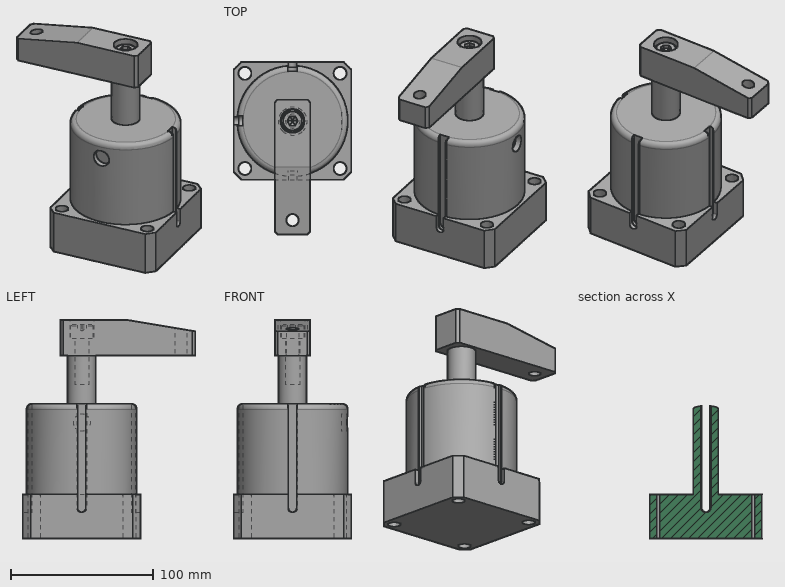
import cadquery as cq
import math


overall_height = 154.0
overall_depth = 121.5

base_width = 83.0
base_height = 31.1
base_chamfer = 5.5
mount_hole_pitch = 67.0
mount_hole_diameter = 9.0
barrel_diameter = 78.0
barrel_top = 95.0
barrel_fillet = 4.0

slot_bottom = 18.6
slot_mouth_width = 5.7
slot_mouth_radius = 37.9
slot_inner_width = 7.0
slot_floor_radius = barrel_diameter / 2 - barrel_fillet
slot_angles = (90, 180, 270)

port_diameter = 12.0
port_height = 82.0
port_depth = 4.6

arm_width = 25.0
arm_height = 25.3
arm_length = 95.0
arm_chamfer = 2.0
arm_tip_height = 17.2
arm_slope_length = 47.9
tip_hole_diameter = 8.5
tip_hole_inset = 10.2
arm_bottom = overall_height - arm_height
arm_front = base_width / 2 - overall_depth
arm_back = arm_front + arm_length

rod_diameter = 20.0

head_diameter = 15.7
head_height = 10.0
head_chamfer = 1.2
head_recess = 3.1
counterbore_diameter = 17.0
shank_diameter = 10.0
thread_length = 20.0
hex_across_flats = 6.5
hex_turn = 30
hex_depth = 2.6
hex_point_depth = 1.8
point_fraction = 0.99
head_top = overall_height - head_recess
head_bottom = head_top - head_height
shank_bottom = arm_bottom - thread_length


def vertical_cylinder(diameter, bottom, top):
    """Cylinder on the Z axis between two heights."""
    return cq.Workplane("XY").workplane(offset=bottom).circle(diameter / 2).extrude(top - bottom)


def round_ended_slot(width, inner_radius, outer_radius):
    """Cutter on the +X side: open at the barrel top, with a half-round lower end."""
    end_center = slot_bottom + width / 2
    return (
        cq.Workplane("YZ")
        .workplane(offset=inner_radius)
        .moveTo(-width / 2, barrel_top)
        .lineTo(-width / 2, end_center)
        .threePointArc((0, slot_bottom), (width / 2, end_center))
        .lineTo(width / 2, barrel_top)
        .close()
        .extrude(outer_radius - inner_radius)
    )


def make_housing():
    base = (
        cq.Workplane("XY")
        .rect(base_width, base_width)
        .extrude(base_height)
        .edges("|Z")
        .chamfer(base_chamfer)
        .faces(">Z")
        .workplane()
        .rect(mount_hole_pitch, mount_hole_pitch, forConstruction=True)
        .vertices()
        .hole(mount_hole_diameter)
    )
    barrel = vertical_cylinder(barrel_diameter, base_height, barrel_top)
    housing = base.union(barrel.faces(">Z").edges().fillet(barrel_fillet))

    mouth = round_ended_slot(slot_mouth_width, slot_mouth_radius, base_width / 2)
    inner = round_ended_slot(slot_inner_width, slot_floor_radius, slot_mouth_radius)
    t_slot = mouth.union(inner)
    for angle in slot_angles:
        housing = housing.cut(t_slot.rotate((0, 0, 0), (0, 0, 1), angle))

    port = (
        cq.Workplane("YZ")
        .workplane(offset=barrel_diameter / 2 - port_depth)
        .center(0, port_height)
        .circle(port_diameter / 2)
        .extrude(port_depth)
    )
    return housing.cut(port)


def make_rod():
    rod = vertical_cylinder(rod_diameter, barrel_top, arm_bottom)
    return rod.cut(vertical_cylinder(shank_diameter, shank_bottom, arm_bottom))


def make_arm():
    tip_top = arm_bottom + arm_tip_height
    side_outline = [
        (arm_back, arm_bottom),
        (arm_back, overall_height),
        (arm_front + arm_slope_length, overall_height),
        (arm_front, tip_top),
        (arm_front, arm_bottom),
    ]
    arm = (
        cq.Workplane("YZ")
        .polyline(side_outline)
        .close()
        .extrude(arm_width / 2, both=True)
        .edges("|Z")
        .chamfer(arm_chamfer)
    )
    tip_hole = vertical_cylinder(tip_hole_diameter, arm_bottom, overall_height)
    tip_hole = tip_hole.translate((0, arm_front + tip_hole_inset, 0))
    counterbore = vertical_cylinder(counterbore_diameter, head_bottom, overall_height)
    shank_hole = vertical_cylinder(shank_diameter, arm_bottom, head_bottom)
    return arm.cut(tip_hole).cut(counterbore).cut(shank_hole)


def make_screw():
    head = vertical_cylinder(head_diameter, head_bottom, head_top)
    head = head.faces(">Z").edges().chamfer(head_chamfer)
    shank = vertical_cylinder(shank_diameter, shank_bottom, head_bottom)

    hex_corner_radius = hex_across_flats / 2 / math.cos(math.pi / 6)
    hexagon = cq.Sketch().regularPolygon(hex_corner_radius, 6, angle=hex_turn)
    socket_floor = cq.Workplane("XY").workplane(offset=head_top - hex_depth)
    socket = socket_floor.placeSketch(hexagon).extrude(hex_depth)
    point_taper = math.degrees(math.atan(hex_across_flats / 2 / hex_point_depth))
    point = socket_floor.placeSketch(hexagon).extrude(-hex_point_depth * point_fraction, taper=point_taper)
    return head.union(shank).cut(socket).cut(point)


housing = make_housing()
rod = make_rod()
arm = make_arm()
screw = make_screw()

result = cq.Compound.makeCompound([housing.val(), rod.val(), arm.val(), screw.val()])